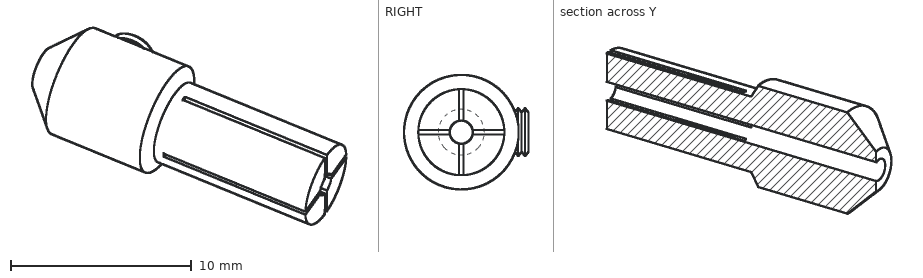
import cadquery as cq
import math

LENGTH = 17.78
HEAD_DIAMETER = 6.35
NOSE_DIAMETER = 2.54
STEM_DIAMETER = 4.7625
BORE_DIAMETER = 1.27
SHOULDER_X = 8.255
SHOULDER_ANGLE = 60.0

SLIT_WIDTH = 0.254
SLIT_LENGTH = 8.93

SCREW_X = 3.81
SCREW_TOP_Y = 3.715
SCREW_MAJOR_DIAMETER = 2.65
SCREW_MINOR_DIAMETER = 2.19
THREAD_PITCH = 0.38
THREAD_COUNT = 4

HEAD_RADIUS = HEAD_DIAMETER / 2
NOSE_RADIUS = NOSE_DIAMETER / 2
STEM_RADIUS = STEM_DIAMETER / 2
NOSE_LENGTH = HEAD_RADIUS - NOSE_RADIUS
SHOULDER_LENGTH = (HEAD_RADIUS - STEM_RADIUS) / math.tan(math.radians(SHOULDER_ANGLE))


def make_body():
    """Nose cone, cylindrical head, shoulder cone and stem as one revolved profile."""
    profile = [
        (0, 0),
        (0, NOSE_RADIUS),
        (NOSE_LENGTH, HEAD_RADIUS),
        (SHOULDER_X - SHOULDER_LENGTH, HEAD_RADIUS),
        (SHOULDER_X, STEM_RADIUS),
        (LENGTH, STEM_RADIUS),
        (LENGTH, 0),
    ]
    return cq.Workplane("XY").polyline(profile).close().revolve(360, (0, 0, 0), (1, 0, 0))


def make_screw():
    """Screw whose sawtooth profile is revolved about its own axis."""
    major_radius = SCREW_MAJOR_DIAMETER / 2
    minor_radius = SCREW_MINOR_DIAMETER / 2
    profile = [(0, SCREW_TOP_Y), (minor_radius, SCREW_TOP_Y)]
    for thread in range(THREAD_COUNT):
        thread_top_y = SCREW_TOP_Y - thread * THREAD_PITCH
        profile.append((major_radius, thread_top_y - THREAD_PITCH / 2))
        profile.append((minor_radius, thread_top_y - THREAD_PITCH))
    profile.append((0, SCREW_TOP_Y - THREAD_COUNT * THREAD_PITCH))
    screw = cq.Workplane("XY").polyline(profile).close().revolve(360, (0, 0, 0), (0, 1, 0))
    return screw.translate((SCREW_X, 0, 0))


def make_bore():
    """Round hole along the whole part axis."""
    return cq.Workplane("YZ").circle(BORE_DIAMETER / 2).extrude(LENGTH)


def make_slit(angle):
    """Slit across the full stem, open at the stem end and turned about X."""
    slit = cq.Workplane("XY").box(SLIT_LENGTH, STEM_DIAMETER, SLIT_WIDTH)
    slit = slit.translate((LENGTH - SLIT_LENGTH / 2, 0, 0))
    return slit.rotate((0, 0, 0), (1, 0, 0), angle)


result = make_body().union(make_screw()).cut(make_bore())
for slit_angle in (0, 90):
    result = result.cut(make_slit(slit_angle))